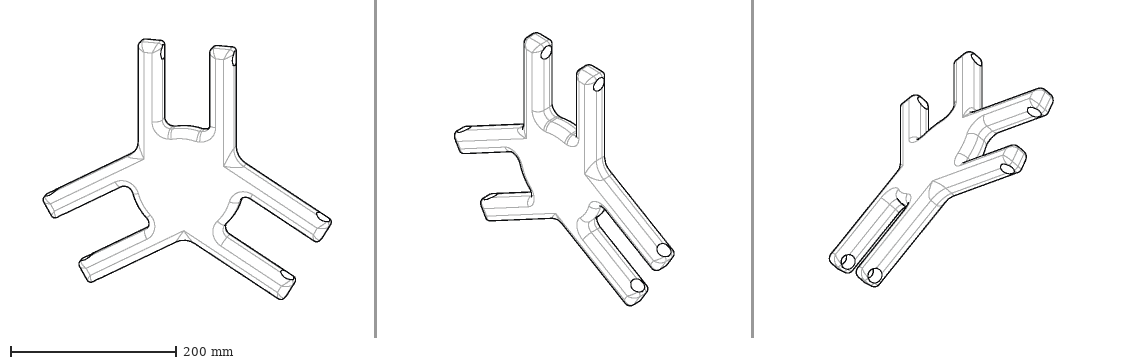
import cadquery as cq
import math

overall_width = 359.5
pair_half_width = 60.0
hub_radius = 69.5
flat_floor_height = 67.2
hole_diameter = 18.0
hole_to_tip = 12.2

thickness = pair_half_width / 2
slot_half_width = pair_half_width - thickness
edge_radius = thickness / 3
slot_corner_radius = edge_radius
crotch_radius = 2.5 * edge_radius
tip_corner_radius = edge_radius / 2

upright_angle = 0
lower_angles = [120, 240]
pair_angles = [upright_angle] + lower_angles

slope = math.radians(30)
corner_centre_x = overall_width / 2 - tip_corner_radius
corner_centre_offset = pair_half_width - tip_corner_radius
corner_centre_reach = (corner_centre_x - corner_centre_offset * math.sin(slope)) / math.cos(slope)
tip_reach = corner_centre_reach + tip_corner_radius

crotch_reach = pair_half_width / math.cos(slope)


def turn(body, angle):
    """Turn a body about the Y axis."""
    return body.rotate((0, 0, 0), (0, 1, 0), angle)


def turned_point(x, z, angle):
    """Point of the middle plane after turning it about the Y axis."""
    a = math.radians(angle)
    return (x * math.cos(a) + z * math.sin(a), 0, z * math.cos(a) - x * math.sin(a))


def plate(outline):
    """Extrude an XZ outline to the full thickness, centred on Y = 0."""
    return outline.extrude(thickness / 2, both=True)


def pair_block():
    """Solid block from the centre to the tips, covering both arms of a pair."""
    outline = cq.Workplane("XZ").center(0, tip_reach / 2).rect(2 * pair_half_width, tip_reach)
    return plate(outline)


def slot(corner_z, corner_sweep, hub_x, has_flat_floor):
    """Gap between two arms, its bottom bulging up along the hub circle.

    Each bottom corner arc is centred at height corner_z and turns through
    corner_sweep from the arm wall. The hub circle is met at half width hub_x,
    either directly from the arc or across a flat floor.
    """
    corner_x = slot_half_width - slot_corner_radius
    hub_z = math.sqrt(hub_radius**2 - hub_x**2)

    def on_corner(angle):
        return (
            corner_x + slot_corner_radius * math.cos(angle),
            corner_z - slot_corner_radius * math.sin(angle),
        )

    mid_x, mid_z = on_corner(corner_sweep / 2)
    end_x, end_z = on_corner(corner_sweep)
    outline = (
        cq.Workplane("XZ")
        .moveTo(-slot_half_width, tip_reach)
        .lineTo(-slot_half_width, corner_z)
        .threePointArc((-mid_x, mid_z), (-end_x, end_z))
    )
    if has_flat_floor:
        outline = outline.lineTo(-hub_x, hub_z)
    outline = outline.threePointArc((0, hub_radius), (hub_x, hub_z))
    if has_flat_floor:
        outline = outline.lineTo(end_x, end_z)
    outline = (
        outline.threePointArc((mid_x, mid_z), (slot_half_width, corner_z))
        .lineTo(slot_half_width, tip_reach)
        .close()
    )
    return plate(outline)


def flat_floor_slot():
    """Slot with a short flat floor on either side of the hub."""
    hub_x = math.sqrt(hub_radius**2 - flat_floor_height**2)
    corner_z = flat_floor_height + slot_corner_radius
    return slot(corner_z, math.pi / 2, hub_x, has_flat_floor=True)


def blended_slot():
    """Slot whose corner arcs run tangentially into the hub circle."""
    centre_distance = hub_radius + slot_corner_radius
    lean = math.asin((slot_half_width - slot_corner_radius) / centre_distance)
    corner_z = centre_distance * math.cos(lean)
    hub_x = hub_radius * math.sin(lean)
    return slot(corner_z, math.pi / 2 + lean, hub_x, has_flat_floor=False)


def tip_hole():
    """Cross hole through both tips of a pair."""
    return (
        cq.Workplane("YZ")
        .center(0, tip_reach - hole_to_tip)
        .circle(hole_diameter / 2)
        .extrude(pair_half_width, both=True)
    )


def fillet_across(body, points, radius):
    """Fillet the Y-parallel edges whose midpoints are the given points."""
    y_edges = body.edges("|Y").vals()
    chosen = [min(y_edges, key=lambda e: (e.Center() - cq.Vector(*p)).Length) for p in points]
    return body.newObject([body.val().fillet(radius, chosen)])


body = pair_block()
for angle in lower_angles:
    body = body.union(turn(pair_block(), angle))
body = body.cut(turn(flat_floor_slot(), upright_angle))
for angle in lower_angles:
    body = body.cut(turn(blended_slot(), angle))

body = body.faces("<Y or >Y").edges().fillet(edge_radius)

crotch_points = [turned_point(0, -crotch_reach, angle) for angle in pair_angles]
body = fillet_across(body, crotch_points, crotch_radius)

tip_points = [
    turned_point(side * wall, tip_reach, angle)
    for angle in pair_angles
    for side in (-1, 1)
    for wall in (slot_half_width, pair_half_width)
]
body = fillet_across(body, tip_points, tip_corner_radius)

for angle in pair_angles:
    body = body.cut(turn(tip_hole(), angle))

result = body.solids()